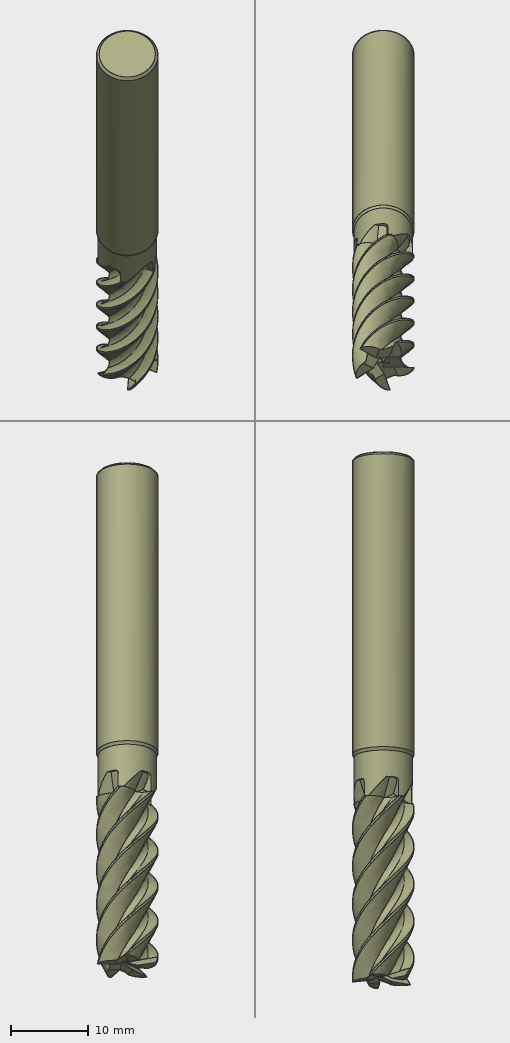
import cadquery as cq
import math

total_length = 70.0
tool_diameter = 8.0
tool_radius = tool_diameter / 2

head_length = 24.0
shank_start = 30.4
neck_diameter = 7.6
neck_radius = neck_diameter / 2
shoulder_height = 0.4
end_chamfer = 0.35

flute_count = 5
helix_lead = 24.85
land_angle = 6.0
back_radius = 3.35
back_angle = 22.0
root_radius = 2.3
root_angle = 43.0
gullet_radius = 2.4
gullet_angle = 55.0
rake_root_radius = 2.7
rake_root_angle = 66.0
rake_radius = 3.35
rake_angle = 71.0
edge_angle_at_head_top = 307.0
runout_length = 2.45
runout_corner_radius = 0.55
runout_end_depth = 0.3
cutter_overreach = 0.7

gash_depth = 1.25
gash_edge_setback = 0.15
gash_wall_run = 1.05
gash_floor_run = 1.55
dish_depth = 0.2

tooth_pitch = 360.0 / flute_count
cutter_radius = tool_radius + cutter_overreach


def polar(radius, angle):
    """Point in the XY plane from a radius and an angle in degrees."""
    return (radius * math.cos(math.radians(angle)), radius * math.sin(math.radians(angle)))


def twist_over(height):
    """Helix rotation in degrees over a height."""
    return 360.0 * height / helix_lead


def turned(body, angle):
    """Copy of a body turned about the tool axis."""
    return body.rotate((0, 0, 0), (0, 0, 1), angle)


def add_flute(section, edge):
    """Continue a section from the land of the tooth at angle `edge` through the flute to the next edge."""
    return (
        section
        .threePointArc(polar(back_radius, edge + back_angle), polar(root_radius, edge + root_angle))
        .threePointArc(
            polar(gullet_radius, edge + gullet_angle), polar(rake_root_radius, edge + rake_root_angle)
        )
        .threePointArc(polar(rake_radius, edge + rake_angle), polar(tool_radius, edge + tooth_pitch))
    )


def toothed_section():
    """Closed cross-section of the cutting head, with the first cutting edge at angle 0."""
    section = cq.Workplane("XY").moveTo(*polar(tool_radius, 0))
    for tooth in range(flute_count):
        edge = tooth * tooth_pitch
        section = section.threePointArc(
            polar(tool_radius, edge + land_angle / 2), polar(tool_radius, edge + land_angle)
        )
        section = add_flute(section, edge)
    return section.close()


def flute_section():
    """Closed cross-section of the space between two teeth, open past the rim."""
    section = cq.Workplane("XY").moveTo(*polar(tool_radius, land_angle))
    return (
        add_flute(section, 0)
        .lineTo(*polar(cutter_radius, tooth_pitch))
        .threePointArc(
            polar(cutter_radius, (land_angle + tooth_pitch) / 2), polar(cutter_radius, land_angle)
        )
        .close()
    )


def end_gash():
    """Radial wedge that opens the end face ahead of the cutting edge at angle 0."""
    return (
        cq.Workplane("YZ")
        .polyline([
            (gash_edge_setback, 0),
            (gash_edge_setback + gash_wall_run, gash_depth),
            (-gash_floor_run, 0),
        ])
        .close()
        .extrude(tool_diameter)
    )


def make_cutting_head():
    head = toothed_section().twistExtrude(head_length, twist_over(head_length))
    head = head.cut(cq.Workplane("XY").add(cq.Solid.makeCone(tool_radius, 0, dish_depth)))
    for tooth in range(flute_count):
        head = head.cut(turned(end_gash(), tooth * tooth_pitch))
    return turned(head, edge_angle_at_head_top - twist_over(head_length))


def flute_runout():
    """End of one flute in the neck: helical along the back, upright on the rake side, rounded at the top."""
    flute = flute_section().twistExtrude(runout_length, twist_over(runout_length))
    limit = (
        cq.Workplane("XY")
        .box(cutter_radius, cutter_radius, runout_length, centered=False)
        .translate((0, -cutter_radius, 0))
        .edges(">Y and >Z")
        .fillet(runout_corner_radius)
    )
    fading_core = cq.Workplane("XY").add(
        cq.Solid.makeCone(root_radius, neck_radius - runout_end_depth, runout_length)
    )
    runout = flute.intersect(turned(limit, tooth_pitch)).cut(fading_core)
    return turned(runout, edge_angle_at_head_top).translate((0, 0, head_length))


def make_shank():
    blank = (
        cq.Workplane("XZ")
        .polyline([
            (0, head_length),
            (neck_radius, head_length),
            (neck_radius, shank_start - shoulder_height),
            (tool_radius, shank_start),
            (tool_radius, total_length - end_chamfer),
            (tool_radius - end_chamfer, total_length),
            (0, total_length),
        ])
        .close()
        .revolve(360, (0, 0, 0), (0, 1, 0))
    )
    for flute in range(flute_count):
        blank = blank.cut(turned(flute_runout(), flute * tooth_pitch))
    return blank


cutting_head = make_cutting_head()
shank = make_shank()

result = cq.Compound.makeCompound([cutting_head.solids().val(), shank.solids().val()])